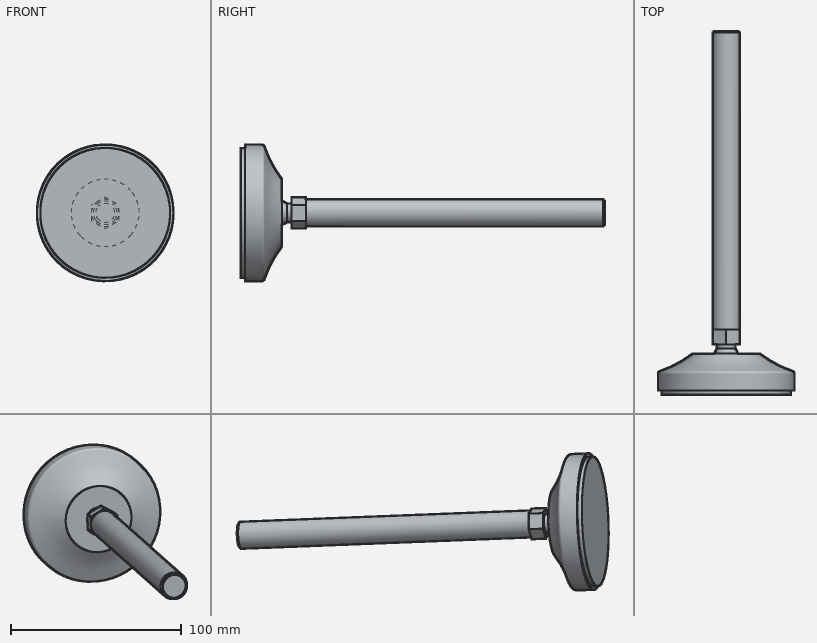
import cadquery as cq
import math

TOTAL_LENGTH = 213.0

PAD_RADIUS = 80.0 / 2
SOLE_RADIUS = 76.0 / 2
SOLE_HEIGHT = 2.5
RIM_HEIGHT = 12.1
SHOULDER_RADIUS = 38.5
SHOULDER_HEIGHT = 14.0
PAD_TOP_RADIUS = 19.8
PAD_HEIGHT = 24.0
FLANK_SAG = 0.9
RIM_BULGE = 0.5

NECK_RADIUS = 11.0 / 2
BALL_RADIUS = 7.0
NECK_START = 27.0
HEX_START = 29.6
HEX_HEIGHT = 8.5
HEX_ACROSS_FLATS = 16.0

ROD_RADIUS = 16.0 / 2
ROD_CHAMFER = 1.0


def point_beside_chord(start, end, offset):
    """Midpoint of a chord, moved by offset to the right of the travel direction."""
    run = end[0] - start[0]
    rise = end[1] - start[1]
    length = math.hypot(run, rise)
    return (
        (start[0] + end[0]) / 2 + offset * rise / length,
        (start[1] + end[1]) / 2 - offset * run / length,
    )


def axial_cylinder(radius, start, end):
    """Cylinder along Y between two heights above the sole."""
    return cq.Workplane("XZ", origin=(0, start, 0)).circle(radius).extrude(start - end)


def make_pad():
    """Revolved pad with a recessed sole, a rounded rim and a concave flank."""
    rim = (PAD_RADIUS, RIM_HEIGHT)
    shoulder = (SHOULDER_RADIUS, SHOULDER_HEIGHT)
    top_edge = (PAD_TOP_RADIUS, PAD_HEIGHT)
    return (
        cq.Workplane("XY")
        .lineTo(SOLE_RADIUS, 0)
        .lineTo(SOLE_RADIUS, SOLE_HEIGHT)
        .lineTo(PAD_RADIUS, SOLE_HEIGHT)
        .lineTo(*rim)
        .threePointArc(point_beside_chord(rim, shoulder, RIM_BULGE), shoulder)
        .threePointArc(point_beside_chord(shoulder, top_edge, -FLANK_SAG), top_edge)
        .lineTo(0, PAD_HEIGHT)
        .close()
        .revolve(360, (0, 0, 0), (0, 1, 0))
    )


def make_ball_joint():
    """Ball seated in the pad, joined to the hexagon by a narrow neck."""
    ball_center = NECK_START - math.sqrt(BALL_RADIUS**2 - NECK_RADIUS**2)
    ball = cq.Workplane("XY", origin=(0, ball_center, 0)).sphere(BALL_RADIUS)
    return ball.union(axial_cylinder(NECK_RADIUS, ball_center, HEX_START))


def make_hexagon():
    """Wrench hexagon with two corners pointing along Z and flats facing X."""
    corner_diameter = HEX_ACROSS_FLATS / math.cos(math.pi / 6)
    return (
        cq.Workplane("XZ", origin=(0, HEX_START, 0))
        .transformed(rotate=(0, 0, 90))
        .polygon(6, corner_diameter)
        .extrude(-HEX_HEIGHT)
    )


def make_rod():
    """Plain rod with a chamfered free end."""
    rod = axial_cylinder(ROD_RADIUS, HEX_START + HEX_HEIGHT, TOTAL_LENGTH)
    return rod.faces(">Y").chamfer(ROD_CHAMFER)


result = make_pad().union(make_ball_joint()).union(make_hexagon()).union(make_rod())